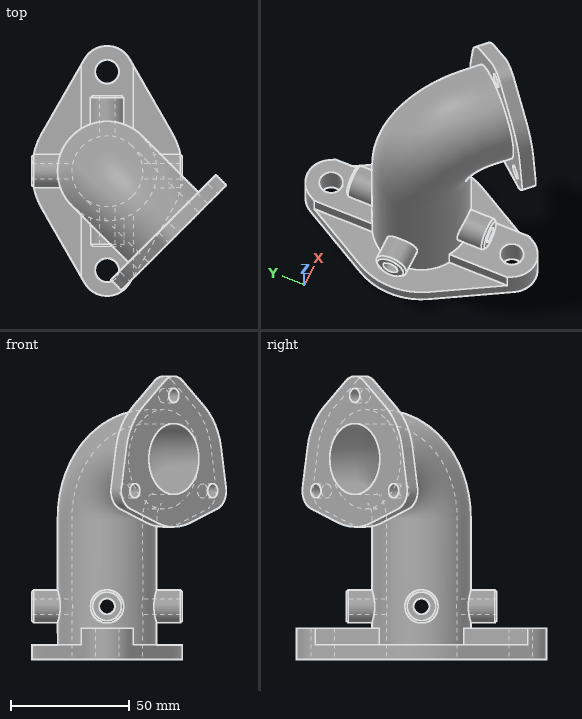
import cadquery as cq
import math

tube_diameter = 42.0
bore_diameter = 30.0
bend_start_height = 60.0
bend_radius = 25.0
outlet_reach = 40.0
outlet_heading = 45.0
outlet_height = bend_start_height + bend_radius

base_thickness = 6.2
base_hub_radius = 31.9
base_length = 106.0
base_bolt_radius = 42.0
base_lobe_radius = base_length / 2 - base_bolt_radius
base_hole_diameter = 10.0
pad_width = 2 * base_lobe_radius
pad_height = 13.3

outlet_thickness = 6.2
outlet_hub_radius = 28.8
outlet_lobe_radius = 8.2
outlet_bolt_radius = 26.9
outlet_hole_diameter = 6.0

nozzle_diameter = 14.0
nozzle_bore_diameter = 6.6
nozzle_height = 22.5
nozzle_reach = base_hub_radius
nozzle_chamfer = 1.0
nozzle_count = 4


def polar(radius, angle, center=(0, 0)):
    return (center[0] + radius * math.cos(angle), center[1] + radius * math.sin(angle))


def lobed_plate(plane, hub_radius, lobe_radius, bolt_radius, lobe_count, hole_diameter, thickness):
    """Plate with a round hub joined by tangent lines to equal drilled lobes, the first one upward."""
    tangent = math.acos((hub_radius - lobe_radius) / bolt_radius)
    pitch = 2 * math.pi / lobe_count
    lobe_angles = [math.pi / 2 + i * pitch for i in range(lobe_count)]
    centers = [polar(bolt_radius, angle) for angle in lobe_angles]

    outline = cq.Workplane(plane).moveTo(*polar(hub_radius, lobe_angles[0] - tangent))
    for angle, center in zip(lobe_angles, centers):
        outline = outline.lineTo(*polar(lobe_radius, angle - tangent, center))
        outline = outline.threePointArc(
            polar(lobe_radius, angle, center),
            polar(lobe_radius, angle + tangent, center),
        )
        outline = outline.lineTo(*polar(hub_radius, angle + tangent))
        outline = outline.threePointArc(
            polar(hub_radius, angle + pitch / 2),
            polar(hub_radius, angle + pitch - tangent),
        )
    plate = outline.close().extrude(thickness)
    holes = cq.Workplane(plane).pushPoints(centers).circle(hole_diameter / 2).extrude(thickness)
    return plate.cut(holes)


def elbow(diameter):
    """Solid round bar following the tube axis from the base to the outlet face."""
    outlet_length = outlet_reach - bend_radius
    leg = cq.Workplane("XY").circle(diameter / 2).extrude(bend_start_height)
    bend = (
        cq.Workplane("XY", origin=(0, 0, bend_start_height))
        .circle(diameter / 2)
        .revolve(90, (0, -bend_radius, 0), (1, -bend_radius, 0))
    )
    outlet = (
        cq.Workplane("XZ", origin=(0, -bend_radius, outlet_height))
        .circle(diameter / 2)
        .extrude(outlet_length)
    )
    bar = leg.union(bend).union(outlet)
    return bar.rotate((0, 0, 0), (0, 0, 1), outlet_heading)


def base_flange():
    """Base plate with a raised strip that runs through both bolt lobes."""
    def plate(thickness):
        return lobed_plate(
            "XY", base_hub_radius, base_lobe_radius, base_bolt_radius, 2, base_hole_diameter, thickness
        )

    strip = cq.Workplane("XY").rect(pad_width, base_length).extrude(pad_height)
    return plate(base_thickness).union(plate(pad_height).intersect(strip))


def outlet_flange():
    flange_back = outlet_reach - outlet_thickness
    plane = cq.Plane(origin=(0, -flange_back, outlet_height), xDir=(1, 0, 0), normal=(0, -1, 0))
    plate = lobed_plate(
        plane, outlet_hub_radius, outlet_lobe_radius, outlet_bolt_radius, 3,
        outlet_hole_diameter, outlet_thickness,
    )
    return plate.rotate((0, 0, 0), (0, 0, 1), outlet_heading)


def around_leg(body):
    """Copies of a body pointing along +X, spread evenly around the vertical leg."""
    copies = cq.Workplane("XY")
    for i in range(nozzle_count):
        copies = copies.union(body.rotate((0, 0, 0), (0, 0, 1), i * 360 / nozzle_count))
    return copies


def nozzle_rod(diameter):
    return cq.Workplane("YZ", origin=(0, 0, nozzle_height)).circle(diameter / 2).extrude(nozzle_reach)


nozzle = nozzle_rod(nozzle_diameter).faces(">X").edges().chamfer(nozzle_chamfer)

result = elbow(tube_diameter).union(base_flange()).union(outlet_flange()).union(around_leg(nozzle))
result = result.cut(elbow(bore_diameter)).cut(around_leg(nozzle_rod(nozzle_bore_diameter)))